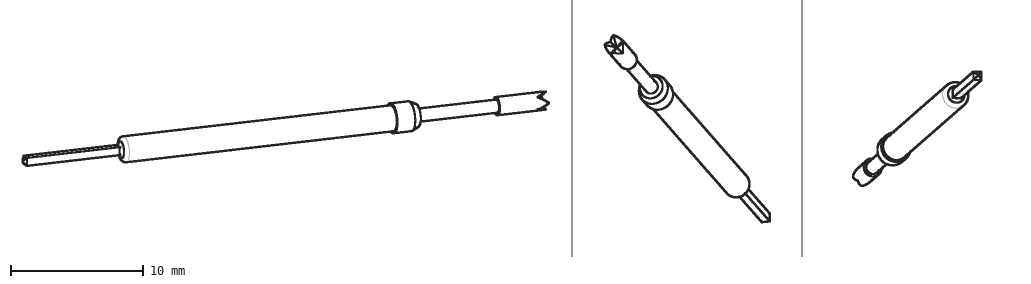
import cadquery as cq
import math

total_length = 42.5

head_end = 4.0
collar_start = 10.5
collar_chamfer_length = 0.55
collar_end = 12.5
barrel_end = 34.5
neck_end = 34.75

head_diameter = 1.4
plunger_diameter = 1.0
collar_diameter = 2.3
collar_chamfer_depth = 0.25
barrel_diameter = 2.0
barrel_rounding = 0.3
neck_base_diameter = 1.28
neck_tip_diameter = 0.72
tail_width = 0.65
tail_point_length = 0.2
tail_tip_width = 0.13

tooth_depth = 0.85
groove_angles = (45, 135)


def turned_body():
    """Head, plunger, collar, barrel and neck as one revolved profile."""
    head_radius = head_diameter / 2
    plunger_radius = plunger_diameter / 2
    collar_radius = collar_diameter / 2
    barrel_radius = barrel_diameter / 2
    arc_offset = barrel_rounding * (1 - math.sqrt(0.5))
    return (
        cq.Workplane("XY")
        .lineTo(head_radius, 0)
        .lineTo(head_radius, -head_end)
        .lineTo(plunger_radius, -head_end)
        .lineTo(plunger_radius, -collar_start)
        .lineTo(collar_radius - collar_chamfer_depth, -collar_start)
        .lineTo(collar_radius, -collar_start - collar_chamfer_length)
        .lineTo(collar_radius, -collar_end)
        .lineTo(barrel_radius, -collar_end)
        .lineTo(barrel_radius, -barrel_end + barrel_rounding)
        .threePointArc(
            (barrel_radius - arc_offset, -barrel_end + arc_offset),
            (barrel_radius - barrel_rounding, -barrel_end),
        )
        .lineTo(neck_base_diameter / 2, -barrel_end)
        .lineTo(neck_tip_diameter / 2, -neck_end)
        .lineTo(0, -neck_end)
        .close()
        .revolve(360, (0, 0), (0, 1))
    )


def crown_groove(angle):
    """V groove across the head tip, turned about the probe axis."""
    half_width = head_diameter / 2 * math.sin(math.radians(groove_angles[0]))
    groove_slope = tooth_depth / half_width
    cut_half_width = head_diameter
    cut_rise = cut_half_width * groove_slope - tooth_depth
    return (
        cq.Workplane("XY")
        .polyline([(0, -tooth_depth), (cut_half_width, cut_rise), (-cut_half_width, cut_rise)])
        .close()
        .extrude(head_diameter, both=True)
        .rotate((0, 0, 0), (0, 1, 0), angle)
    )


def square_tail():
    """Square pin ending in a small blunt pyramid."""
    shank_end = total_length - tail_point_length
    shank = (
        cq.Workplane("XZ", origin=(0, -barrel_end, 0))
        .rect(tail_width, tail_width)
        .extrude(shank_end - barrel_end)
    )
    point = (
        cq.Workplane("XZ", origin=(0, -shank_end, 0))
        .rect(tail_width, tail_width)
        .workplane(offset=tail_point_length)
        .rect(tail_tip_width, tail_tip_width)
        .loft(ruled=True)
    )
    return shank.union(point)


result = turned_body()
for groove_angle in groove_angles:
    result = result.cut(crown_groove(groove_angle))
result = result.union(square_tail())